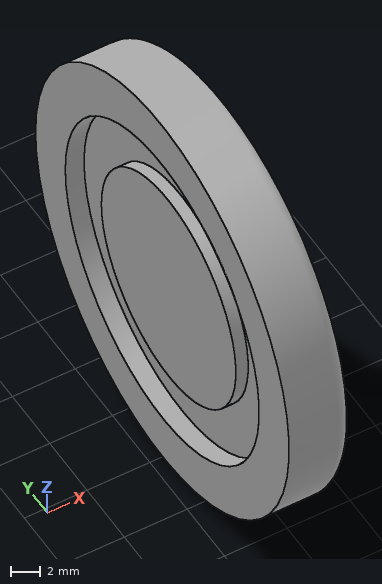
import cadquery as cq
import math

outer_radius = 17.0
thickness = 8.0
corner_height = 4.73
cone_angle = 20.0
rim_fillet = 1.0
crown_fillet = 5.0
groove_outer_radius = 13.0
island_radius = 9.0
groove_depth = 1.5
island_setback = 0.5

crown_radius = outer_radius - (thickness - corner_height) / math.tan(math.radians(cone_angle))


def make_disc():
    """Revolve the half section about X, then round the rim and the crown."""
    disc = (
        cq.Workplane("XY")
        .moveTo(0, 0)
        .lineTo(0, outer_radius)
        .lineTo(corner_height, outer_radius)
        .lineTo(thickness, crown_radius)
        .lineTo(thickness, 0)
        .close()
        .revolve(360, (0, 0, 0), (1, 0, 0))
    )
    disc = disc.faces(">X").edges().fillet(crown_fillet)
    largest_circle = cq.selectors.RadiusNthSelector(-1)
    return disc.edges("%CIRCLE").edges("not <X").edges(largest_circle).fillet(rim_fillet)


def make_back_recess():
    """Round pocket in the back face with an island slightly below that face."""
    pocket = cq.Workplane("YZ").circle(groove_outer_radius).extrude(groove_depth)
    island = (
        cq.Workplane("YZ", origin=(island_setback, 0, 0))
        .circle(island_radius)
        .extrude(groove_depth - island_setback)
    )
    return pocket.cut(island)


result = make_disc().cut(make_back_recess())